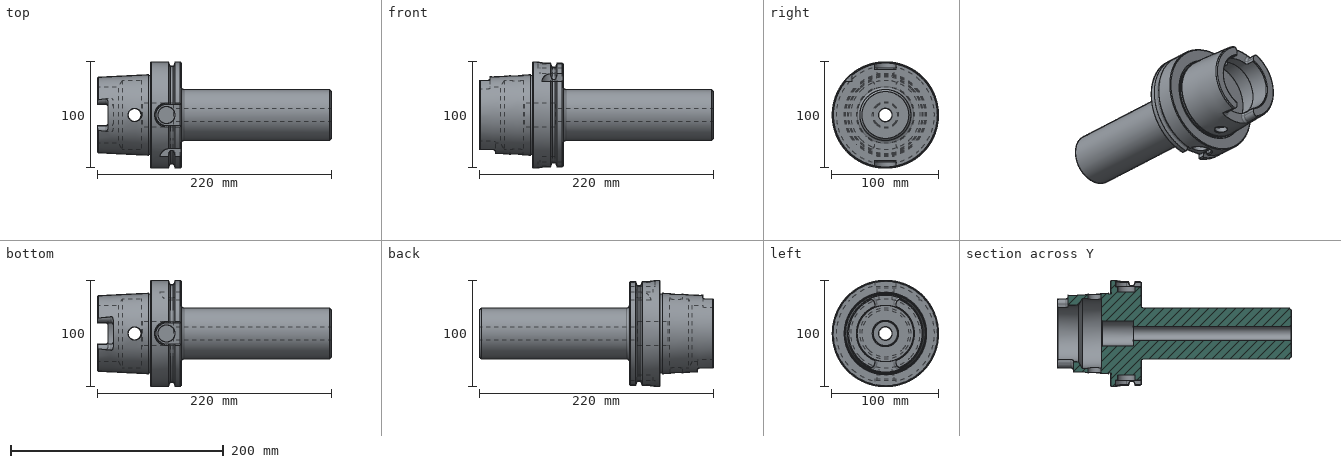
import cadquery as cq
import math


taper_length = 50.0
taper_root_radius = 38.0
taper_half_slope = 0.05
taper_tip_radius = taper_root_radius - taper_half_slope * taper_length
taper_tip_chamfer = 1.0
relief_width = 2.0
relief_radius = 37.3
face_recess_radius = 38.8
face_recess_depth = 0.5

flange_radius = 50.0
flange_width = 29.0
flange_edge_chamfer = 0.8
flange_back_chamfer = 1.2
groove_center = 20.0
groove_floor_radius = 46.0
groove_floor_width = 3.6
groove_top_width = 6.4
groove_floor_fillet = 1.0

shaft_end = 170.0
shaft_radius = 24.0
shaft_end_chamfer = 2.0
shaft_root_fillet = 2.5

bore_radius = 26.5
bore_mouth_chamfer = 0.8
bore_depth = 41.5
undercut_start = 20.0
undercut_radius = 32.5
undercut_angle = 60.0
counterbore_radius = 11.4
counterbore_depth = 30.0
counterbore_mouth_chamfer = 1.0
through_radius = 6.2

clamp_hole_x = -15.0
clamp_hole_radius = 6.0
clamp_hole_chamfer = 0.4
clamp_mouth_reach = 1.0

notch_half_width = 10.0
notch_edge_radius = 5.0
notch_shoulder_height = 32.5
notch_root_fillet = 2.0
upper_notch_depth = 10.0
lower_notch_depth = 15.0

slot_half_width = 10.0
slot_end_x = 15.0
slot_floor_height = 44.0
slot_chamfer = 1.2
dimple_radius = 8.0
dimple_depth = 5.0

index_offset = 31.5
index_end_radius = 9.5
index_end_x = 18.0

clearance = 10.0


def turned_body():
    """Revolve the outside profile: taper, relief, plain flange and shaft."""
    tip_x = -taper_length
    chamfered_tip_radius = taper_tip_radius + taper_half_slope * taper_tip_chamfer
    relief_start_radius = taper_root_radius - taper_half_slope * relief_width
    arc_offset = shaft_root_fillet * (1 - math.sqrt(0.5))
    outline = (
        cq.Workplane("XY")
        .moveTo(tip_x, 0)
        .lineTo(tip_x, taper_tip_radius - taper_tip_chamfer)
        .lineTo(tip_x + taper_tip_chamfer, chamfered_tip_radius)
        .lineTo(-relief_width, relief_start_radius)
        .lineTo(-relief_width, relief_radius)
        .lineTo(face_recess_depth, relief_radius)
        .lineTo(face_recess_depth, face_recess_radius)
        .lineTo(0, face_recess_radius)
        .lineTo(0, flange_radius - flange_edge_chamfer)
        .lineTo(flange_edge_chamfer, flange_radius)
        .lineTo(flange_width - flange_back_chamfer, flange_radius)
        .lineTo(flange_width, flange_radius - flange_back_chamfer)
        .lineTo(flange_width, shaft_radius + shaft_root_fillet)
        .threePointArc(
            (flange_width + arc_offset, shaft_radius + arc_offset),
            (flange_width + shaft_root_fillet, shaft_radius),
        )
        .lineTo(shaft_end - shaft_end_chamfer, shaft_radius)
        .lineTo(shaft_end, shaft_radius - shaft_end_chamfer)
        .lineTo(shaft_end, 0)
        .close()
    )
    return outline.revolve(360, (0, 0, 0), (1, 0, 0))


def gripper_groove():
    """Ring cutter for the flange groove: sloped walls and filleted floor corners."""
    half_floor = groove_floor_width / 2
    wall_run = (groove_top_width - groove_floor_width) / 2
    wall_slope = wall_run / (flange_radius - groove_floor_radius)
    half_mouth = groove_top_width / 2 + wall_slope * clearance
    mouth_radius = flange_radius + clearance
    outline = (
        cq.Workplane("XY")
        .moveTo(groove_center - half_mouth, mouth_radius)
        .lineTo(groove_center - half_floor, groove_floor_radius)
        .lineTo(groove_center + half_floor, groove_floor_radius)
        .lineTo(groove_center + half_mouth, mouth_radius)
        .close()
    )
    ring = outline.revolve(360, (0, 0, 0), (1, 0, 0))
    floor_corners = cq.selectors.RadiusNthSelector(0)
    return ring.edges(floor_corners).fillet(groove_floor_fillet)


def stepped_bore():
    """Revolve the inside profile: undercut main bore, counterbore and through hole."""
    mouth_x = -taper_length
    step_x = mouth_x + bore_depth
    undercut_x = mouth_x + undercut_start
    undercut_run = (undercut_radius - bore_radius) / math.tan(math.radians(undercut_angle))
    floor_x = step_x + counterbore_depth
    outline = (
        cq.Workplane("XY")
        .moveTo(mouth_x, 0)
        .lineTo(mouth_x, bore_radius + bore_mouth_chamfer)
        .lineTo(mouth_x + bore_mouth_chamfer, bore_radius)
        .lineTo(undercut_x, bore_radius)
        .lineTo(undercut_x + undercut_run, undercut_radius)
        .lineTo(step_x, undercut_radius)
        .lineTo(step_x, counterbore_radius + counterbore_mouth_chamfer)
        .lineTo(step_x + counterbore_mouth_chamfer, counterbore_radius)
        .lineTo(floor_x, counterbore_radius)
        .lineTo(floor_x, through_radius)
        .lineTo(shaft_end, through_radius)
        .lineTo(shaft_end, 0)
        .close()
    )
    return outline.revolve(360, (0, 0, 0), (1, 0, 0))


def drive_notch(depth):
    """Cutter for the upper taper-tip notch: straight walls with rounded outer edges."""
    arc_center_y = notch_half_width + notch_edge_radius
    arc_center_z = notch_shoulder_height - notch_edge_radius
    arc_mid = notch_edge_radius * math.sqrt(0.5)
    right_mid = (arc_center_y - arc_mid, arc_center_z + arc_mid)
    left_mid = (-right_mid[0], right_mid[1])
    profile = (
        cq.Workplane("YZ", origin=(-taper_length - clearance, 0, 0))
        .moveTo(-notch_half_width, 0)
        .lineTo(notch_half_width, 0)
        .lineTo(notch_half_width, arc_center_z)
        .threePointArc(right_mid, (arc_center_y, notch_shoulder_height))
        .lineTo(flange_radius, notch_shoulder_height)
        .lineTo(flange_radius, flange_radius)
        .lineTo(-flange_radius, flange_radius)
        .lineTo(-flange_radius, notch_shoulder_height)
        .lineTo(-arc_center_y, notch_shoulder_height)
        .threePointArc(left_mid, (-notch_half_width, arc_center_z))
        .close()
    )
    return profile.extrude(clearance + depth).faces(">X").edges().fillet(notch_root_fillet)


def clamp_holes():
    """Cutter for the two aligned holes across the taper, with countersunk mouths."""
    wall_radius = taper_root_radius + taper_half_slope * clamp_hole_x
    mouth_radius = clamp_hole_radius + clamp_hole_chamfer
    hole = cq.Workplane("XY", origin=(clamp_hole_x, 0, -flange_radius))
    cutter = hole.circle(clamp_hole_radius).extrude(2 * flange_radius)
    mouth = cq.Solid.makeCone(
        clamp_hole_radius,
        mouth_radius + clamp_mouth_reach,
        clamp_hole_chamfer + clamp_mouth_reach,
        cq.Vector(clamp_hole_x, 0, wall_radius - clamp_hole_chamfer),
    )
    return cutter.union(mouth).union(cq.Workplane(mouth).mirror("XY"))


def drive_slot():
    """Cutter for the upper flange slot: rounded front end, chamfered back edge, blind hole."""
    slot_back_x = flange_width + clearance
    slot = (
        cq.Workplane("XY", origin=(0, 0, slot_floor_height))
        .moveTo(slot_end_x, slot_half_width)
        .threePointArc((slot_end_x - slot_half_width, 0), (slot_end_x, -slot_half_width))
        .lineTo(slot_back_x, -slot_half_width)
        .lineTo(slot_back_x, slot_half_width)
        .close()
        .extrude(clearance)
    )
    back_edge = (
        cq.Workplane("XZ", origin=(0, slot_half_width, 0))
        .moveTo(flange_width - flange_back_chamfer, slot_floor_height)
        .lineTo(flange_width, slot_floor_height - flange_back_chamfer)
        .lineTo(flange_width, slot_floor_height)
        .close()
        .extrude(2 * slot_half_width)
    )
    dimple = (
        cq.Workplane("XY", origin=(slot_end_x, 0, slot_floor_height - dimple_depth))
        .circle(dimple_radius)
        .extrude(dimple_depth)
    )
    return slot.union(back_edge).union(dimple)


def chamfer_slot_mouths(flange):
    """Chamfer the edges where the two drive slots break the flange's round surface."""
    cylinder_end_x = flange_width - flange_back_chamfer
    rim_height = math.sqrt(flange_radius**2 - slot_half_width**2)
    margin = 0.1
    for low, high in ((rim_height, flange_radius), (-flange_radius, -rim_height)):
        mouth_box = cq.selectors.BoxSelector(
            (flange_edge_chamfer + margin, -slot_half_width - margin, low - margin),
            (cylinder_end_x - margin, slot_half_width + margin, high + margin),
        )
        flange = flange.edges(mouth_box).chamfer(slot_chamfer)
    return flange


def index_notch():
    """Cutter for the L-shaped corner notch, ended by a quarter-round wall."""
    wall_y = -index_offset
    center_y = wall_y - index_end_radius
    arc_mid = index_end_radius * math.sqrt(0.5)
    return (
        cq.Workplane("XY", origin=(0, 0, index_offset))
        .moveTo(flange_width + clearance, wall_y)
        .lineTo(index_end_x, wall_y)
        .threePointArc(
            (index_end_x - arc_mid, center_y + arc_mid),
            (index_end_x - index_end_radius, center_y),
        )
        .lineTo(index_end_x - index_end_radius, -flange_radius)
        .lineTo(flange_width + clearance, -flange_radius)
        .close()
        .extrude(flange_radius)
    )


body = turned_body().cut(drive_slot()).cut(drive_slot().mirror("XY"))
body = chamfer_slot_mouths(body)
body = body.cut(gripper_groove()).cut(index_notch())
body = body.cut(stepped_bore()).cut(clamp_holes())
body = body.cut(drive_notch(upper_notch_depth))
result = body.cut(drive_notch(lower_notch_depth).mirror("XY"))